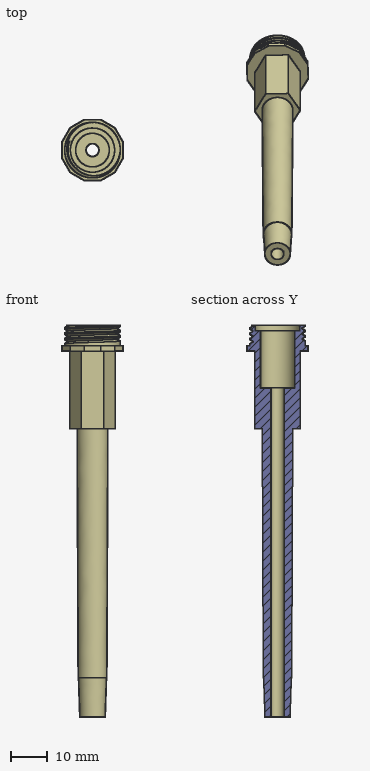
import cadquery as cq
import math

total_length = 107.15
thread_length = 5.65
flange_thickness = 1.5
hex_length = 21.25
tip_length = 10.7

flange_base = total_length - thread_length - flange_thickness
hex_base = flange_base - hex_length
thread_base = flange_base + flange_thickness

flange_across_flats = 16.7
flange_sides = 12
flange_corner_angle = 180 / flange_sides
hex_across_flats = 10.8
hex_sides = 6
hex_corner_angle = 0.0
tube_top_diameter = 8.47
tube_bottom_diameter = 7.9
tip_top_diameter = 7.7
tip_bottom_diameter = 7.0

through_diameter = 3.45
socket_diameter = 9.2
socket_depth_below_flange = 10.0
socket_depth = total_length - flange_base + socket_depth_below_flange
recess_diameter = 12.1
recess_depth = 1.5

thread_diameter = 15.2
thread_pitch = 1.45
groove_depth = 0.9
groove_mouth_width = 1.1
groove_start_height = 102.25
groove_start_angle = 90.0
groove_overrun = 1.0
mouth_clearance = 0.2


def cone_frustum(base_z, height, bottom_diameter, top_diameter):
    """Tapered round bar standing on the plane Z = base_z."""
    cone = cq.Solid.makeCone(bottom_diameter / 2, top_diameter / 2, height)
    return cq.Workplane(obj=cone.translate(cq.Vector(0, 0, base_z)))


def polygon_prism(base_z, height, sides, across_flats, rotation):
    """Regular prism with its first corner turned by rotation degrees from +X."""
    across_corners = across_flats / math.cos(math.pi / sides)
    prism = cq.Workplane("XY").polygon(sides, across_corners).extrude(height)
    return prism.rotate((0, 0, 0), (0, 0, 1), rotation).translate((0, 0, base_z))


def top_bore(diameter, depth):
    """Round cutter sunk from the top face."""
    return cq.Workplane("XY").workplane(offset=total_length - depth).circle(diameter / 2).extrude(depth)


def thread_groove():
    """Helical cutter that rises from its start point and runs out through the top face."""
    root_radius = thread_diameter / 2 - groove_depth
    mouth_radius = thread_diameter / 2 + mouth_clearance
    half_mouth = groove_mouth_width / 2 * (groove_depth + mouth_clearance) / groove_depth
    helix_height = total_length - groove_start_height + groove_overrun

    helix = cq.Wire.makeHelix(thread_pitch, helix_height, thread_diameter / 2)
    profile = cq.Workplane("XZ").polyline([
        (root_radius, 0),
        (mouth_radius, -half_mouth),
        (mouth_radius, half_mouth),
    ]).close()
    groove = profile.sweep(cq.Workplane(obj=helix), isFrenet=True)
    return groove.rotate((0, 0, 0), (0, 0, 1), groove_start_angle).translate((0, 0, groove_start_height))


def threaded_neck():
    """Grooved cylinder, cut over-long and trimmed so that the groove breaks through the top face."""
    blank_length = thread_length + 2 * groove_overrun + thread_pitch
    start_plane = cq.Workplane("XY").workplane(offset=thread_base)
    blank = start_plane.circle(thread_diameter / 2).extrude(blank_length)
    envelope = start_plane.circle(thread_diameter).extrude(thread_length)
    return blank.cut(thread_groove()).intersect(envelope)


tip = cone_frustum(0, tip_length, tip_bottom_diameter, tip_top_diameter)
tube = cone_frustum(tip_length, hex_base - tip_length, tube_bottom_diameter, tube_top_diameter)
hex_body = polygon_prism(hex_base, hex_length, hex_sides, hex_across_flats, hex_corner_angle)
flange = polygon_prism(flange_base, flange_thickness, flange_sides, flange_across_flats, flange_corner_angle)
body = tip.union(tube).union(hex_body).union(flange).union(threaded_neck())
body = body.cut(top_bore(through_diameter, total_length))
body = body.cut(top_bore(socket_diameter, socket_depth))
result = body.cut(top_bore(recess_diameter, recess_depth))